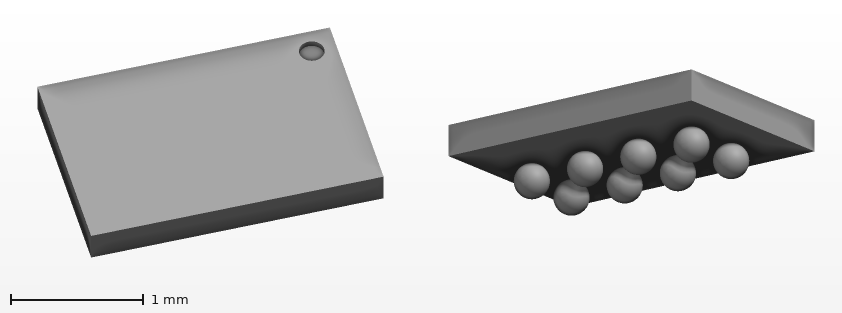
import cadquery as cq

body_width = 1.55
body_length = 2.28
body_thickness = 0.246

mark_diameter = 0.194
mark_inset = 0.194
mark_depth = 0.05

ball_diameter = 0.274
ball_pitch = 0.5
ball_columns = 2
ball_rows = 4

ball_radius = ball_diameter / 2
body_bottom = ball_diameter
body_top = body_bottom + body_thickness


def make_body():
    """Flat rectangular package with a blind pin-one recess."""
    slab = cq.Workplane("XY").workplane(offset=body_bottom).rect(body_width, body_length).extrude(body_thickness)
    mark = (
        cq.Workplane("XY")
        .workplane(offset=body_top - mark_depth)
        .center(-body_width / 2 + mark_inset, body_length / 2 - mark_inset)
        .circle(mark_diameter / 2)
        .extrude(mark_depth)
    )
    return slab.cut(mark)


def make_ball(x, y):
    """One solder ball resting on the Z = 0 plane."""
    return cq.Workplane("XY").sphere(ball_radius).translate((x, y, ball_radius))


body = make_body()

balls = []
for column in range(ball_columns):
    for row in range(ball_rows):
        x = (column - (ball_columns - 1) / 2) * ball_pitch
        y = (row - (ball_rows - 1) / 2) * ball_pitch
        balls.append(make_ball(x, y).val())

result = cq.Compound.makeCompound([body.val(), *balls])